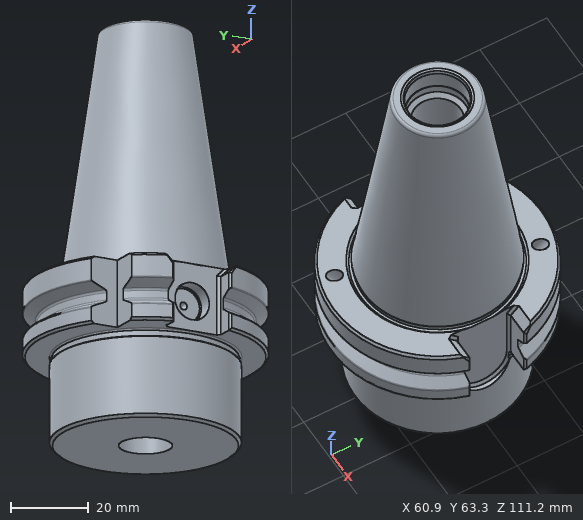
import cadquery as cq
import math

length = 111.2
cut_clearance = 1.1

body_radius = 24.7
body_chamfer = 0.8
body_top = 21.6
neck_radius = 48.4 / 2
neck_step = 0.3
neck_fillet = 0.6

flange_radius = 63.3 / 2
flange_bottom = 23.9
flange_top = 42.0
flange_chamfer = 0.7
groove_middle = 31.9
groove_root_radius = 56.1 / 2
groove_root_half_width = 1.5
groove_slope = math.radians(30)
groove_root_fillet = 0.8
groove_edge_fillet = 0.3

relief_radius = 23.5
relief_depth = 0.7
relief_neck_radius = 21.9
relief_neck_top = 42.5

gauge_plane = 43.0
gauge_radius = 44.4 / 2
taper_half_slope = 7 / 48
rim_fillet = 0.9

bore_radius = 6.9
thread_radius = 8.3
thread_bottom = 102.7
mouth_radius = 8.5
mouth_bottom = 105.1
centre_cone_radius = 8.8
centre_cone_depth = 1.0
guard_cone_radius = 9.5
guard_cone_depth = 0.2
drill_tip_half_angle = math.radians(59)

slot_half_width = 8.0
slot_edge = 0.8
slot_flare_bottom = 39.6
flare_angle = math.radians(45)
slot_overshoot = 3.3
slot_mouth_start = 29.8
deep_floor = 22.6
shallow_floor = 24.9

notch_corner = 18.2

coolant_radius = 1.8
coolant_circle_radius = 26.9
coolant_angles = (70, 250)
coolant_tilt = math.radians(37)

pocket_radius = 5.0
pocket_bevel = 0.3
chip_radius = pocket_radius - pocket_bevel
chip_recess = 4.6
chip_thickness = 3.3
dimple_radius = 1.0
dimple_depth = 1.0


def turned_blank():
    """Revolve the outside of the holder: nose, neck, flange, relief and taper."""
    taper_end_radius = gauge_radius - (length - gauge_plane) * taper_half_slope
    relief_bottom = flange_top - relief_depth
    blank = (
        cq.Workplane("XZ")
        .moveTo(0, 0)
        .lineTo(body_radius - body_chamfer, 0)
        .lineTo(body_radius, body_chamfer)
        .lineTo(body_radius, body_top)
        .lineTo(neck_radius, body_top + neck_step)
        .lineTo(neck_radius, flange_bottom - neck_fillet)
        .radiusArc((neck_radius + neck_fillet, flange_bottom), neck_fillet)
        .lineTo(flange_radius - flange_chamfer, flange_bottom)
        .lineTo(flange_radius, flange_bottom + flange_chamfer)
        .lineTo(flange_radius, flange_top - flange_chamfer)
        .lineTo(flange_radius - flange_chamfer, flange_top)
        .lineTo(relief_radius, flange_top)
        .lineTo(relief_radius - relief_depth, relief_bottom)
        .lineTo(relief_neck_radius, relief_bottom)
        .lineTo(relief_neck_radius, relief_neck_top)
        .lineTo(gauge_radius, gauge_plane)
        .lineTo(taper_end_radius, length)
        .lineTo(0, length)
        .close()
        .revolve(360, (0, 0), (0, 1))
    )
    return blank.faces(">Z").edges().fillet(rim_fillet)


def gripper_groove_ring():
    """Ring that cuts the V groove, with rounded root corners."""
    outer_radius = flange_radius + cut_clearance
    mouth_half_width = groove_root_half_width + (outer_radius - groove_root_radius) * math.tan(groove_slope)
    section = (
        cq.Workplane("XZ")
        .moveTo(groove_root_radius, groove_middle - groove_root_half_width)
        .lineTo(outer_radius, groove_middle - mouth_half_width)
        .lineTo(outer_radius, groove_middle + mouth_half_width)
        .lineTo(groove_root_radius, groove_middle + groove_root_half_width)
        .close()
    )
    ring = section.revolve(360, (0, 0), (0, 1))
    root_circles = cq.selectors.RadiusNthSelector(0)
    return ring.edges(root_circles).fillet(groove_root_fillet)


def cut_gripper_groove(blank):
    """Cut the V groove and round the two edges where it meets the flange rim."""
    grooved = blank.cut(gripper_groove_ring())
    edge_half_width = groove_root_half_width + (flange_radius - groove_root_radius) * math.tan(groove_slope)
    reach = edge_half_width + groove_edge_fillet
    edge_zone = cq.selectors.BoxSelector(
        (-flange_radius, -flange_radius, groove_middle - reach),
        (flange_radius, flange_radius, groove_middle + reach),
    )
    outermost = cq.selectors.RadiusNthSelector(-1)
    return grooved.edges(edge_zone).edges("%CIRCLE").edges(outermost).fillet(groove_edge_fillet)


def axial_bore():
    """Revolve the through bore with its threaded mouth at the small end of the taper."""
    tip_height = (thread_radius - bore_radius) / math.tan(drill_tip_half_angle)
    return (
        cq.Workplane("XZ")
        .moveTo(0, 0)
        .lineTo(bore_radius, 0)
        .lineTo(bore_radius, thread_bottom - tip_height)
        .lineTo(thread_radius, thread_bottom)
        .lineTo(thread_radius, mouth_bottom)
        .lineTo(mouth_radius, mouth_bottom)
        .lineTo(mouth_radius, length - centre_cone_depth)
        .lineTo(centre_cone_radius, length - guard_cone_depth)
        .lineTo(guard_cone_radius, length)
        .lineTo(0, length)
        .close()
        .revolve(360, (0, 0), (0, 1))
    )


def slot_outline(distance, half_width):
    """Slot section at a distance along +X: round lower end, upright sides, flared top."""
    flare_shift = (half_width - slot_half_width) * math.tan(flare_angle / 2)
    flare_bottom = slot_flare_bottom - flare_shift
    top = flange_top + slot_overshoot
    top_half_width = half_width + (top - flare_bottom) * math.tan(flare_angle)
    return (
        cq.Workplane("YZ", origin=(distance, 0, 0))
        .moveTo(-half_width, flange_bottom)
        .threePointArc((0, flange_bottom - half_width), (half_width, flange_bottom))
        .lineTo(half_width, flare_bottom)
        .lineTo(top_half_width, top)
        .lineTo(-top_half_width, top)
        .lineTo(-half_width, flare_bottom)
        .close()
    )


def slot_bevel(start, start_half_width, growth):
    """Stretch of slot that widens by 45 degrees as it goes outward."""
    inner = slot_outline(start, start_half_width).wires().val()
    outer = slot_outline(start + growth, start_half_width + growth).wires().val()
    return cq.Workplane(cq.Solid.makeLoft([inner, outer], True))


def drive_slot(floor):
    """Cutter for the drive slot on the +X side, with bevels along its floor and mouth."""
    wall_start = floor + slot_edge
    mouth_growth = flange_radius + cut_clearance - slot_mouth_start
    straight = slot_outline(wall_start, slot_half_width).extrude(slot_mouth_start - wall_start)
    floor_bevel = slot_bevel(floor, slot_half_width - slot_edge, slot_edge)
    mouth_bevel = slot_bevel(slot_mouth_start, slot_half_width, mouth_growth)
    return straight.union(floor_bevel).union(mouth_bevel)


def orientation_notch():
    """Square corner cut through the whole flange height."""
    return (
        cq.Workplane("XY", origin=(-notch_corner, notch_corner, flange_bottom))
        .rect(-flange_radius, flange_radius, centered=False)
        .extrude(flange_top - flange_bottom)
    )


def coolant_hole(angle):
    """Hole that slants from the flange top down and inward to the axial bore."""
    direction = cq.Vector(-math.sin(coolant_tilt), 0, -math.cos(coolant_tilt))
    mouth = cq.Vector(coolant_circle_radius, 0, flange_top)
    run = coolant_circle_radius / math.sin(coolant_tilt)
    lead = 2 * coolant_radius
    hole = cq.Solid.makeCylinder(coolant_radius, run + lead, mouth - direction * lead, direction)
    return hole.rotate(cq.Vector(0, 0, 0), cq.Vector(0, 0, 1), angle)


def radial_disc(radius, outer_distance, thickness):
    """Cylinder around the -X direction at groove height, reaching inward from a distance off the axis."""
    return cq.Workplane("YZ", origin=(-outer_distance, 0, groove_middle)).circle(radius).extrude(thickness)


def radial_cone(outer_radius, inner_radius, outer_distance, height):
    """Cone around the -X direction at groove height, reaching inward from a distance off the axis."""
    base = cq.Vector(-outer_distance, 0, groove_middle)
    return cq.Workplane(cq.Solid.makeCone(outer_radius, inner_radius, height, base, cq.Vector(1, 0, 0)))


def chip_pocket():
    """Blind radial pocket: an open bore, a bevel that narrows it, and the seat that holds the chip."""
    open_depth = chip_recess - pocket_bevel
    open_bore = radial_disc(pocket_radius, shallow_floor, open_depth)
    bevel = radial_cone(pocket_radius, chip_radius, shallow_floor - open_depth, pocket_bevel)
    seat = radial_disc(chip_radius, shallow_floor - chip_recess, chip_thickness)
    return open_bore.union(bevel).union(seat)


def make_holder():
    """The tool holder."""
    holder = cut_gripper_groove(turned_blank()).cut(axial_bore())
    holder = holder.cut(drive_slot(deep_floor))
    holder = holder.cut(drive_slot(shallow_floor).rotate((0, 0, 0), (0, 0, 1), 180))
    holder = holder.cut(orientation_notch())
    for angle in coolant_angles:
        holder = holder.cut(cq.Workplane(coolant_hole(angle)))
    return holder.cut(chip_pocket())


def make_data_chip():
    """The data chip: a disc that fills the seat of its pocket, with a centre dimple in its face."""
    face_distance = shallow_floor - chip_recess
    disc = radial_disc(chip_radius, face_distance, chip_thickness)
    return disc.cut(radial_cone(dimple_radius, 0, face_distance, dimple_depth))


holder = make_holder()
data_chip = make_data_chip()
result = cq.Compound.makeCompound([holder.val(), data_chip.val()])